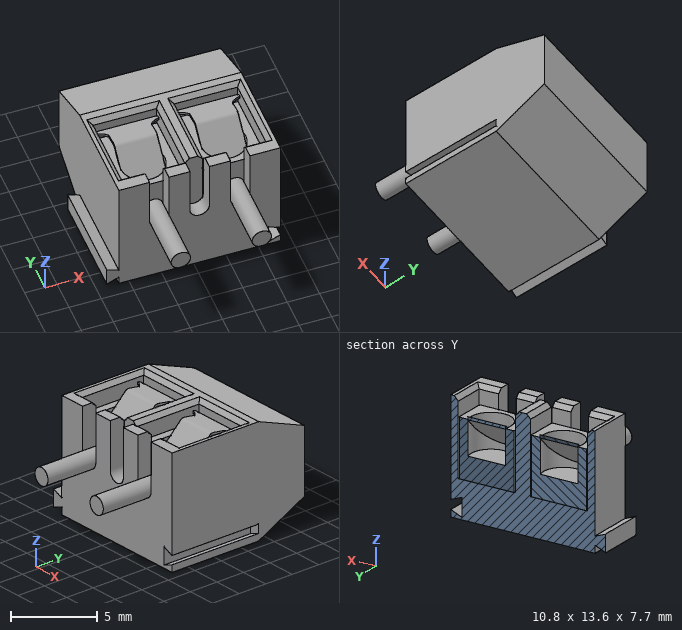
import cadquery as cq
import math


WIDTH = 10.0
DEPTH = 10.0
HEIGHT = 7.7
FLAT_DEPTH = 6.53
TOP_DROP = 1.32
BOTTOM_RISE = 1.81
PITCH = 5.0
POLE_X = [-PITCH / 2, PITCH / 2]

DOVETAIL_REACH = 0.75
DOVETAIL_Z = 0.8
DOVETAIL_TIP = 1.2
DOVETAIL_ROOT = 0.6

PIN_DIAMETER = 1.2
PIN_Z = 4.5
PIN_REACH = 3.6

POCKET_WIDTH = 3.92
POCKET_FRONT = 1.02
POCKET_BACK = 5.74
POCKET_CHAMFER = 0.29

CLAMP_GAP = 0.04
CLAMP_WIDTH = POCKET_WIDTH - 2 * CLAMP_GAP
CLAMP_BACK = POCKET_BACK - CLAMP_GAP
CLAMP_TOP = 6.43
CLAMP_BOTTOM = 2 * PIN_Z - CLAMP_TOP
HOLE_RADIUS = 1.36
HOLE_Y = 2.75
HOLE_DEPTH = 2.31

SHEET = 0.16
TONGUE_WIDTH = 2.64
ROOF_TILT = 8.5
RAMP_TILT = -45.0
LEG_TILT = 90.0
RIDGE_RADIUS = 0.37
RIDGE_Y = 4.07
RIDGE_Z = 6.95
BEND_RADIUS = 0.46
FLARE_START = 4.88
FLARE_END = 5.25
FLARE_BULGE = 0.05


def box(width, x, y_front, y_back, z_bottom, z_top):
    """Box centred on x, between the given Y and Z planes."""
    size = (width, y_back - y_front, z_top - z_bottom)
    corner = (x - width / 2, y_front, z_bottom)
    return cq.Workplane("XY").box(*size, centered=False).translate(corner)


def along_y(sketch_y, x, z):
    """XZ workplane at Y = sketch_y; positive extrusions go toward -Y, negative ones toward +Y."""
    return cq.Workplane("XZ", origin=(x, sketch_y, z))


def dovetail(root_x):
    """Dovetail bar that widens toward -X from its root."""
    return (
        along_y(0, root_x, DOVETAIL_Z)
        .moveTo(0, -DOVETAIL_ROOT / 2)
        .lineTo(-DOVETAIL_REACH, -DOVETAIL_TIP / 2)
        .lineTo(-DOVETAIL_REACH, DOVETAIL_TIP / 2)
        .lineTo(0, DOVETAIL_ROOT / 2)
        .close()
        .extrude(-FLAT_DEPTH)
    )


def front_slot(x):
    """Slot through the front wall, open at the top and round at pin height."""
    round_end = along_y(0, x, PIN_Z).circle(PIN_DIAMETER / 2).extrude(-POCKET_FRONT)
    return round_end.union(box(PIN_DIAMETER, x, 0, POCKET_FRONT, PIN_Z, HEIGHT))


def pocket(x):
    """Pocket for one clamp, with a chamfered mouth in the top face."""
    cavity = box(POCKET_WIDTH, x, POCKET_FRONT, POCKET_BACK, CLAMP_BOTTOM, HEIGHT)
    length = POCKET_BACK - POCKET_FRONT
    mouth = (
        cq.Workplane("XY", origin=(x, (POCKET_FRONT + POCKET_BACK) / 2, HEIGHT))
        .rect(POCKET_WIDTH + 2 * POCKET_CHAMFER, length + 2 * POCKET_CHAMFER)
        .workplane(offset=-POCKET_CHAMFER)
        .rect(POCKET_WIDTH, length)
        .loft(ruled=True)
    )
    return cavity.union(mouth)


def make_housing():
    body = (
        cq.Workplane("YZ", origin=(-WIDTH / 2, 0, 0))
        .polyline([
            (0, 0),
            (FLAT_DEPTH, 0),
            (DEPTH, BOTTOM_RISE),
            (DEPTH, HEIGHT - TOP_DROP),
            (FLAT_DEPTH, HEIGHT),
            (0, HEIGHT),
        ])
        .close()
        .extrude(WIDTH)
    )
    body = body.union(dovetail(-WIDTH / 2)).cut(dovetail(WIDTH / 2))
    for x in POLE_X:
        body = body.cut(pocket(x))
    for x in [*POLE_X, 0]:
        body = body.cut(front_slot(x))
    return body


def make_pin(x):
    """Round pin from the clamp's front face out through the slot."""
    return along_y(POCKET_FRONT, x, PIN_Z).circle(PIN_DIAMETER / 2).extrude(POCKET_FRONT + PIN_REACH)


def clamp_hole(x):
    return (
        cq.Workplane("XY", origin=(x, HOLE_Y, CLAMP_TOP))
        .circle(HOLE_RADIUS)
        .extrude(-HOLE_DEPTH)
    )


def make_clamp(x):
    block = box(CLAMP_WIDTH, x, POCKET_FRONT, CLAMP_BACK, CLAMP_BOTTOM, CLAMP_TOP)
    return block.cut(clamp_hole(x))


def bend_point(center, radius, tilt):
    """Point (Y, Z) on a bend where the surface normal leans by tilt degrees from +Z toward +Y."""
    angle = math.radians(tilt)
    return (center[0] + radius * math.sin(angle), center[1] + radius * math.cos(angle))


def tongue_sheet(x):
    """Bent sheet at full clamp width: ramp into the hole, roof, and leg down to the clamp."""
    ridge = (RIDGE_Y, RIDGE_Z)
    bend_y = CLAMP_BACK - BEND_RADIUS
    roof_angle = math.radians(ROOF_TILT)
    bend_z = (
        RIDGE_Z
        - (bend_y - RIDGE_Y) * math.tan(roof_angle)
        + (RIDGE_RADIUS - BEND_RADIUS) / math.cos(roof_angle)
    )
    bend = (bend_y, bend_z)
    ridge_mid = (RAMP_TILT + ROOF_TILT) / 2
    bend_mid = (ROOF_TILT + LEG_TILT) / 2
    ridge_inner = RIDGE_RADIUS - SHEET
    bend_inner = BEND_RADIUS - SHEET

    ramp_top = bend_point(ridge, RIDGE_RADIUS, RAMP_TILT)
    ramp_top_inner = bend_point(ridge, ridge_inner, RAMP_TILT)
    ramp_slope = math.tan(math.radians(-RAMP_TILT))
    foot_y = HOLE_Y - HOLE_RADIUS
    foot_z = ramp_top[1] - (ramp_top[0] - foot_y) * ramp_slope
    foot_inner_z = ramp_top_inner[1] - (ramp_top_inner[0] - foot_y) * ramp_slope

    return (
        cq.Workplane("YZ", origin=(x - CLAMP_WIDTH / 2, 0, 0))
        .moveTo(foot_y, foot_z)
        .lineTo(*ramp_top)
        .threePointArc(
            bend_point(ridge, RIDGE_RADIUS, ridge_mid), bend_point(ridge, RIDGE_RADIUS, ROOF_TILT)
        )
        .lineTo(*bend_point(bend, BEND_RADIUS, ROOF_TILT))
        .threePointArc(
            bend_point(bend, BEND_RADIUS, bend_mid), bend_point(bend, BEND_RADIUS, LEG_TILT)
        )
        .lineTo(CLAMP_BACK, CLAMP_TOP)
        .lineTo(CLAMP_BACK - SHEET, CLAMP_TOP)
        .lineTo(*bend_point(bend, bend_inner, LEG_TILT))
        .threePointArc(
            bend_point(bend, bend_inner, bend_mid), bend_point(bend, bend_inner, ROOF_TILT)
        )
        .lineTo(*bend_point(ridge, ridge_inner, ROOF_TILT))
        .threePointArc(bend_point(ridge, ridge_inner, ridge_mid), ramp_top_inner)
        .lineTo(foot_y, foot_inner_z)
        .close()
        .extrude(CLAMP_WIDTH)
    )


def tongue_plan(x):
    """Plan outline of the tongue: a narrow strip that flares to the clamp width at the back."""
    narrow = TONGUE_WIDTH / 2
    wide = CLAMP_WIDTH / 2
    run_x = wide - narrow
    run_y = FLARE_END - FLARE_START
    chord = math.hypot(run_x, run_y)
    mid_x = (narrow + wide) / 2 - FLARE_BULGE * run_y / chord
    mid_y = (FLARE_START + FLARE_END) / 2 + FLARE_BULGE * run_x / chord
    return (
        cq.Workplane("XY", origin=(x, 0, 0))
        .moveTo(-narrow, 0)
        .lineTo(narrow, 0)
        .lineTo(narrow, FLARE_START)
        .threePointArc((mid_x, mid_y), (wide, FLARE_END))
        .lineTo(wide, CLAMP_BACK)
        .lineTo(-wide, CLAMP_BACK)
        .lineTo(-wide, FLARE_END)
        .threePointArc((-mid_x, mid_y), (-narrow, FLARE_START))
        .close()
        .extrude(HEIGHT)
    )


def make_tongue(x):
    """Bent tongue, trimmed to the round hole where it enters the clamp."""
    return tongue_sheet(x).intersect(tongue_plan(x)).cut(make_clamp(x))


housing = make_housing()
pins = [make_pin(x) for x in POLE_X]
clamps = [make_clamp(x) for x in POLE_X]
tongues = [make_tongue(x) for x in POLE_X]

result = cq.Compound.makeCompound(
    [housing.val()] + [body.val() for body in [*pins, *clamps, *tongues]]
)